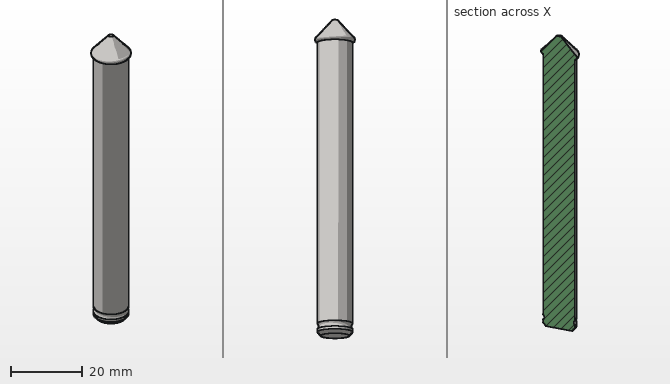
import cadquery as cq

length = 90.0
body_radius = 4.995
rim_radius = 5.625

tip_radius = 0.7
cone_height = 4.95
cone_base_radius = 5.2
cone_base_z = length - cone_height

rim_height = 1.35
taper_height = 0.2
rim_bottom_z = cone_base_z - rim_height
rim_middle_z = cone_base_z - rim_height / 2
taper_bottom_z = rim_bottom_z - taper_height

groove_top_z = 3.5
groove_bottom_z = 1.9
groove_depth = 0.4
groove_middle_z = (groove_top_z + groove_bottom_z) / 2

bevel_height = 1.1
bottom_radius = 4.05

profile = (
    cq.Workplane("XZ")
    .lineTo(bottom_radius, 0)
    .lineTo(body_radius, bevel_height)
    .lineTo(body_radius, groove_bottom_z)
    .threePointArc((body_radius - groove_depth, groove_middle_z), (body_radius, groove_top_z))
    .lineTo(body_radius, taper_bottom_z)
    .lineTo(cone_base_radius, rim_bottom_z)
    .threePointArc((rim_radius, rim_middle_z), (cone_base_radius, cone_base_z))
    .lineTo(tip_radius, length)
    .lineTo(0, length)
    .close()
)

result = profile.revolve(360, (0, 0, 0), (0, 1, 0))